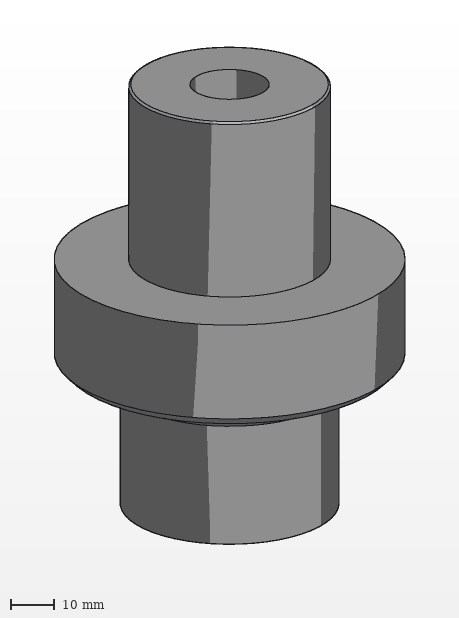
import cadquery as cq

total_height = 103.0
bore_diameter = 18.0

spigot_diameter = 50.0
spigot_height = 29.0
cone_height = 6.0
cone_top_diameter = 63.0

flange_diameter = 80.0
flange_height = 25.0
flange_chamfer = 2.0

shaft_diameter = 46.0
shaft_chamfer = 0.5

flange_bottom = spigot_height + cone_height
flange_top = flange_bottom + flange_height


def disc(diameter, bottom, top):
    """Solid cylinder about the Z axis between two levels."""
    return cq.Workplane("XY").workplane(offset=bottom).circle(diameter / 2).extrude(top - bottom)


def transition_cone():
    """Cone widening upward from the spigot to the underside of the flange."""
    return (
        cq.Workplane("XY")
        .workplane(offset=spigot_height)
        .circle(spigot_diameter / 2)
        .workplane(offset=cone_height)
        .circle(cone_top_diameter / 2)
        .loft(ruled=True)
    )


spigot = disc(spigot_diameter, 0, spigot_height)
flange = disc(flange_diameter, flange_bottom, flange_top).faces("<Z").edges().chamfer(flange_chamfer)
shaft = disc(shaft_diameter, flange_top, total_height).faces(">Z").edges().chamfer(shaft_chamfer)
bore = disc(bore_diameter, 0, total_height)

result = spigot.union(transition_cone()).union(flange).union(shaft).cut(bore)